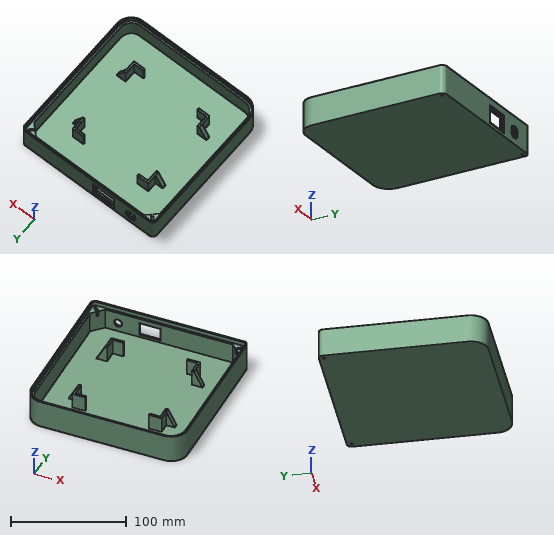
import cadquery as cq
import math

side = 147.0
height = 27.0
wall = 3.5
floor = 3.0
front_radius = 15.5
back_radius = 4.5

rim_wall = 1.5
rim_depth = 4.0
ledge_z = height - rim_depth

post_leg = 10.0
pilot_diameter = 2.0
pilot_inset = 4.5
slot_width = 2.0
slot_depth = 5.0

panel_thickness = 1.9
recess_margin = 2.0
window_width = 20.0
window_height = 12.8
window_center_x = -18.0
window_center_z = 11.75
port_diameter = 7.5
port_center_x = -48.0
port_center_z = 11.75

bracket_inner = 40.0
bracket_wall = 2.0
bracket_length_x = 12.0
bracket_length_y = 14.0
bracket_height = 15.0
gusset_length = 8.0
gusset_width = 4.0

bracket_outer = bracket_inner + bracket_wall
cavity_half = side / 2 - wall


def rounded_square(inset, bottom_z, top_z):
    """Square block set in from the outside, with rounding concentric to the outer corners."""
    width = side - 2 * inset
    block = cq.Workplane("XY").workplane(offset=bottom_z).rect(width, width).extrude(top_z - bottom_z)
    block = block.edges("|Z and <Y").fillet(front_radius - inset)
    return block.edges("|Z and >Y").fillet(back_radius - inset)


def cavity():
    """Main pocket, with its two back corners cut off by the posts."""
    width = 2 * cavity_half
    block = cq.Workplane("XY").workplane(offset=floor).rect(width, width).extrude(height - floor)
    block = block.edges("|Z and <Y").fillet(front_radius - wall)
    return block.edges("|Z and >Y").chamfer(post_leg)


def post_cut():
    """Vertical hole in the right post with a slot from it, open towards the cavity."""
    center = side / 2 - pilot_inset
    hole = cq.Workplane("XY").center(center, center).circle(pilot_diameter / 2).extrude(height)
    post_face_distance = math.sqrt(2) * (cavity_half - post_leg / 2)
    slot_length = math.sqrt(2) * center - post_face_distance
    slot = (
        cq.Workplane("XY")
        .box(slot_length, slot_width, slot_depth, centered=(False, True, False))
        .rotate((0, 0, 0), (0, 0, 1), 225)
        .translate((center, center, ledge_z - slot_depth))
    )
    return hole.union(slot)


def back_openings():
    """Rectangular window and round port through the back wall, with their outside recesses."""
    back = cq.Workplane("XZ", origin=(0, side / 2, 0))
    window = back.center(window_center_x, window_center_z)
    port = back.center(port_center_x, port_center_z)
    recess_depth = wall - panel_thickness
    window_recess_width = window_width + 2 * recess_margin
    window_recess_height = window_height + 2 * recess_margin
    port_recess_diameter = port_diameter + 2 * recess_margin
    return (
        window.rect(window_width, window_height).extrude(wall)
        .union(window.rect(window_recess_width, window_recess_height).extrude(recess_depth))
        .union(port.circle(port_diameter / 2).extrude(wall))
        .union(port.circle(port_recess_diameter / 2).extrude(recess_depth))
    )


def bracket():
    """Bracket of the +X, +Y quadrant: an L wall with a sloping gusset on its outside."""
    start_x = bracket_outer - bracket_length_x
    start_y = bracket_outer - bracket_length_y
    wall_l = (
        cq.Workplane("XY", origin=(0, 0, floor))
        .moveTo(bracket_outer, bracket_outer)
        .lineTo(start_x, bracket_outer)
        .lineTo(start_x, bracket_inner)
        .lineTo(bracket_inner, bracket_inner)
        .lineTo(bracket_inner, start_y)
        .lineTo(bracket_outer, start_y)
        .close()
        .extrude(bracket_height)
    )
    gusset = (
        cq.Workplane("XZ", origin=(bracket_outer, start_y, floor))
        .lineTo(gusset_length, 0)
        .lineTo(0, bracket_height)
        .close()
        .extrude(-gusset_width)
    )
    return wall_l.union(gusset)


body = rounded_square(0, 0, height)
body = body.cut(cavity())
body = body.cut(rounded_square(rim_wall, ledge_z, height))
body = body.cut(back_openings())

right_post_cut = post_cut()
body = body.cut(right_post_cut).cut(right_post_cut.mirror("YZ"))

right_back_bracket = bracket()
right_front_bracket = right_back_bracket.mirror("XZ")
for right_bracket in (right_back_bracket, right_front_bracket):
    body = body.union(right_bracket).union(right_bracket.mirror("YZ"))

result = body